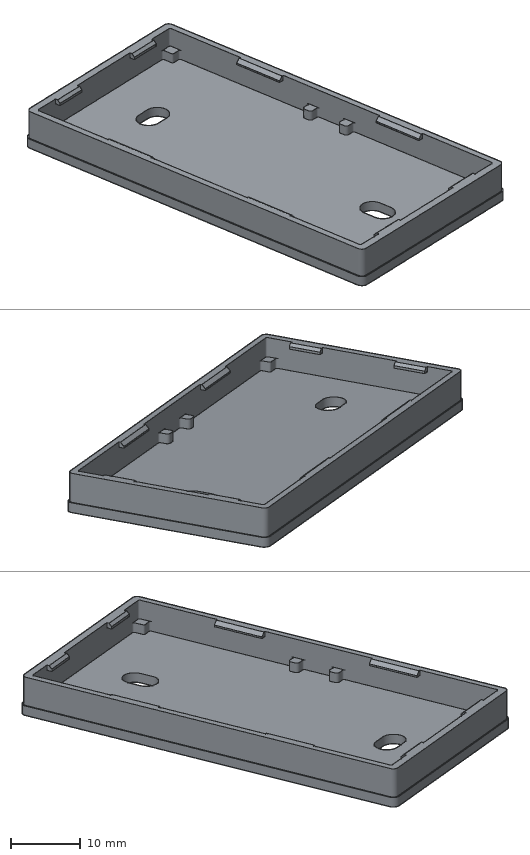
import cadquery as cq
import math

length = 63.2
width = 32.6
height = 6.0
flange_height = 1.5
flange_step = 0.2
corner_radius = 1.0
floor_thickness = 1.5

cavity_length = 60.35
cavity_width = 30.15
inner_fillet = 0.25

post_height = 1.5
post_reach = 1.6
corner_post_size = 1.85
middle_post_x = 3.35
middle_post_width = 1.65
nose_radius = 0.5

snap_size = 0.8
long_snap_length = 8.0
long_snap_x = 13.0
long_snap_chamfer = 0.6
short_snap_length = 5.0
short_snap_y = 8.5
short_snap_chamfer = 0.45

slot_length = 5.55
slot_width = 3.6
slot_x = 21.0


def rounded_block(size_x, size_y, size_z, radius):
    """Block standing on the XY plane with rounded vertical edges."""
    block = cq.Workplane("XY").box(size_x, size_y, size_z, centered=(True, True, False))
    return block.edges("|Z").fillet(radius)


def tray():
    """Flanged outer shell with a rectangular cavity open at the top."""
    flange = rounded_block(length, width, flange_height, corner_radius)
    wall_length = length - 2 * flange_step
    wall_width = width - 2 * flange_step
    wall = rounded_block(wall_length, wall_width, height, corner_radius - flange_step)
    cavity = rounded_block(cavity_length, cavity_width, height, inner_fillet)
    cavity = cavity.translate((0, 0, floor_thickness))
    return flange.union(wall).cut(cavity)


def root_fillet(x, y, toward_x, toward_y):
    """Concave fillet in the upright corner at (x, y), spreading along the two given directions."""
    tip_x = x + toward_x * inner_fillet
    tip_y = y + toward_y * inner_fillet
    sag = inner_fillet * (1 - math.sqrt(0.5))
    return (
        cq.Workplane("XY", origin=(0, 0, floor_thickness))
        .moveTo(x, y)
        .lineTo(tip_x, y)
        .threePointArc((x + toward_x * sag, y + toward_y * sag), (x, tip_y))
        .close()
        .extrude(post_height)
    )


def post(left, right, rounded_edges, edge_radius):
    """Post on the +Y wall between two X positions, with its chosen upright edges rounded."""
    return (
        cq.Workplane("XY", origin=(0, 0, floor_thickness))
        .center((left + right) / 2, (cavity_width - post_reach) / 2)
        .rect(right - left, post_reach)
        .extrude(post_height)
        .edges(rounded_edges)
        .fillet(edge_radius)
    )


def middle_post():
    """Post on the +Y wall with a round nose and filleted roots."""
    left = middle_post_x - middle_post_width / 2
    right = middle_post_x + middle_post_width / 2
    wall_y = cavity_width / 2
    body = post(left, right, "|Z and <Y", nose_radius)
    return body.union(root_fillet(left, wall_y, -1, -1)).union(root_fillet(right, wall_y, 1, -1))


def corner_post():
    """Post in the +X +Y corner, rounded on its free edge and filleted into both walls."""
    wall_x = cavity_length / 2
    wall_y = cavity_width / 2
    left = wall_x - corner_post_size
    body = post(left, wall_x, "|Z and <X and <Y", inner_fillet)
    body = body.union(root_fillet(left, wall_y, -1, -1))
    return body.union(root_fillet(wall_x, wall_y - post_reach, -1, -1))


def snap_ridge(ridge_length, chamfer):
    """Chamfered bar along X whose back lies on the XZ plane and whose tip points to -Y."""
    return (
        cq.Workplane("XY")
        .box(ridge_length, snap_size, snap_size)
        .edges(">Z and <Y")
        .chamfer(chamfer)
        .translate((0, -snap_size / 2, height - snap_size / 2))
    )


def slot(x, angle):
    """Cutter for a round-ended slot through the floor."""
    return cq.Workplane("XY").center(x, 0).slot2D(slot_length, slot_width, angle).extrude(floor_thickness)


result = tray()

long_ridge = snap_ridge(long_snap_length, long_snap_chamfer)
short_ridge = snap_ridge(short_snap_length, short_snap_chamfer).rotate((0, 0, 0), (0, 0, 1), -90)
quarter_features = [
    middle_post(),
    corner_post(),
    long_ridge.translate((long_snap_x, cavity_width / 2, 0)),
    short_ridge.translate((cavity_length / 2, short_snap_y, 0)),
]
for feature in quarter_features:
    half = feature.union(feature.mirror("YZ"))
    result = result.union(half).union(half.mirror("XZ"))

result = result.cut(slot(-slot_x, 90)).cut(slot(slot_x, 0))